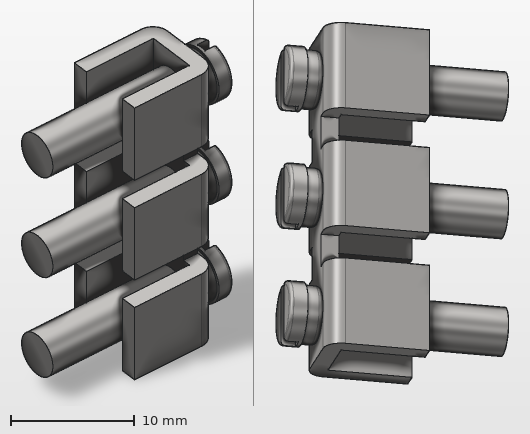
import cadquery as cq

total_height = 27.8
clip_count = 3
clip_width = 7.7
clip_height = 7.4
clip_depth = 8.48
wall_thickness = 1.55
web_thickness = 1.5
outer_corner_radius = web_thickness
bridge_width = 3.05
pitch = (total_height - clip_height) / (clip_count - 1)

shank_diameter = 4.0
shank_reach = 7.0
collar_diameter = 4.8
collar_length = 1.3
collar_fillet = 0.5
collar_sink = 0.17
head_diameter = 5.3
head_length = 1.5
head_fillet = 0.3
slot_width = 1.0
slot_depth = 1.2

head_top = collar_length + head_length
shank_length = clip_depth + shank_reach


def make_clip():
    """U-shaped clip, open towards -Y and centred on Z = 0."""
    block = (
        cq.Workplane("XY")
        .box(clip_width, clip_depth, clip_height)
        .translate((0, -clip_depth / 2, 0))
        .edges("|Z and >Y")
        .fillet(outer_corner_radius)
    )
    channel = (
        cq.Workplane("XY")
        .box(clip_width - 2 * wall_thickness, clip_depth, clip_height)
        .translate((0, -clip_depth / 2 - web_thickness, 0))
    )
    return block.cut(channel)


def make_cylinder(diameter, length, start_y):
    """Cylinder running from start_y towards +Y."""
    return (
        cq.Workplane("XZ", origin=(0, start_y, 0))
        .circle(diameter / 2)
        .extrude(-length)
    )


def make_screw():
    """Screw with a slot along Z and a round-edged collar seated in the web."""
    shank = make_cylinder(shank_diameter, shank_length, -shank_length)
    collar = (
        make_cylinder(collar_diameter, collar_length + collar_sink, -collar_sink)
        .faces("<Y")
        .edges()
        .fillet(collar_fillet)
    )
    head = (
        make_cylinder(head_diameter, head_length, collar_length)
        .faces(">Y")
        .edges()
        .fillet(head_fillet)
    )
    slot = (
        cq.Workplane("XY")
        .box(slot_width, slot_depth, head_diameter)
        .translate((0, head_top - slot_depth / 2, 0))
    )
    return shank.union(collar).union(head.cut(slot))


result = (
    cq.Workplane("XY")
    .box(bridge_width, web_thickness, total_height)
    .translate((0, -web_thickness / 2, 0))
)

clip_with_screw = make_clip().union(make_screw())
for index in range(clip_count):
    center_z = (index - (clip_count - 1) / 2) * pitch
    result = result.union(clip_with_screw.translate((0, 0, center_z)))
result = result.clean()